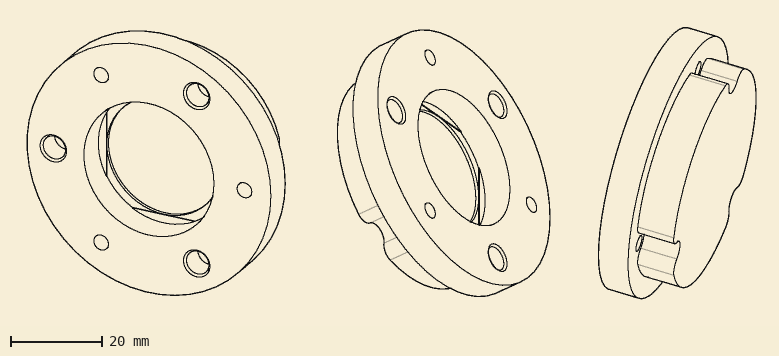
import cadquery as cq

flange_diameter = 60.0
flange_thickness = 7.0

boss_diameter = 50.0
boss_height = 8.5

bore_diameter = 32.0
bore_depth = flange_thickness
window_width = 28.0
window_depth = 0.2
seat_diameter = window_width
seat_depth = 0.8

pitch_radius = 23.5
holes_per_kind = 3
through_hole_diameter = 3.6
through_hole_start_angle = 0.0
blind_hole_diameter = 5.5
blind_hole_depth = 6.0
blind_hole_chamfer = 0.5
countersink_taper = 45.0
blind_hole_start_angle = 60.0

notch_radius = 3.0
notch_edge_fillet = 3.0


def plane_at(depth):
    """Plane at a depth behind the front face; a negative extrusion runs toward +Y."""
    return cq.Workplane("XZ", origin=(0, depth, 0))


def disc(diameter, depth, length):
    return plane_at(depth).circle(diameter / 2).extrude(-length)


def on_pitch_circle(depth, start_angle):
    """Workplane with one point for each hole of a kind."""
    return plane_at(depth).polarArray(pitch_radius, start_angle, 360, holes_per_kind)


def make_boss():
    boss = disc(boss_diameter, flange_thickness, boss_height)
    notches = on_pitch_circle(flange_thickness, through_hole_start_angle)
    boss = boss.cut(notches.circle(notch_radius).extrude(-boss_height))
    return boss.edges("|Y").fillet(notch_edge_fillet)


def make_recess():
    bore = disc(bore_diameter, 0, bore_depth)
    window = plane_at(bore_depth).rect(window_width, window_width).extrude(-window_depth)
    window = window.intersect(disc(bore_diameter, bore_depth, window_depth))
    seat = disc(seat_diameter, bore_depth + window_depth, seat_depth)
    return bore.union(window).union(seat)


def make_through_holes():
    holes = on_pitch_circle(0, through_hole_start_angle)
    return holes.circle(through_hole_diameter / 2).extrude(-flange_thickness)


def make_blind_holes():
    holes = on_pitch_circle(0, blind_hole_start_angle)
    holes = holes.circle(blind_hole_diameter / 2).extrude(-blind_hole_depth)
    mouths = on_pitch_circle(0, blind_hole_start_angle)
    mouths = mouths.circle(blind_hole_diameter / 2 + blind_hole_chamfer)
    mouths = mouths.extrude(-blind_hole_chamfer, taper=countersink_taper)
    return holes.union(mouths)


flange = disc(flange_diameter, 0, flange_thickness)
result = flange.union(make_boss())
result = result.cut(make_recess()).cut(make_through_holes()).cut(make_blind_holes())